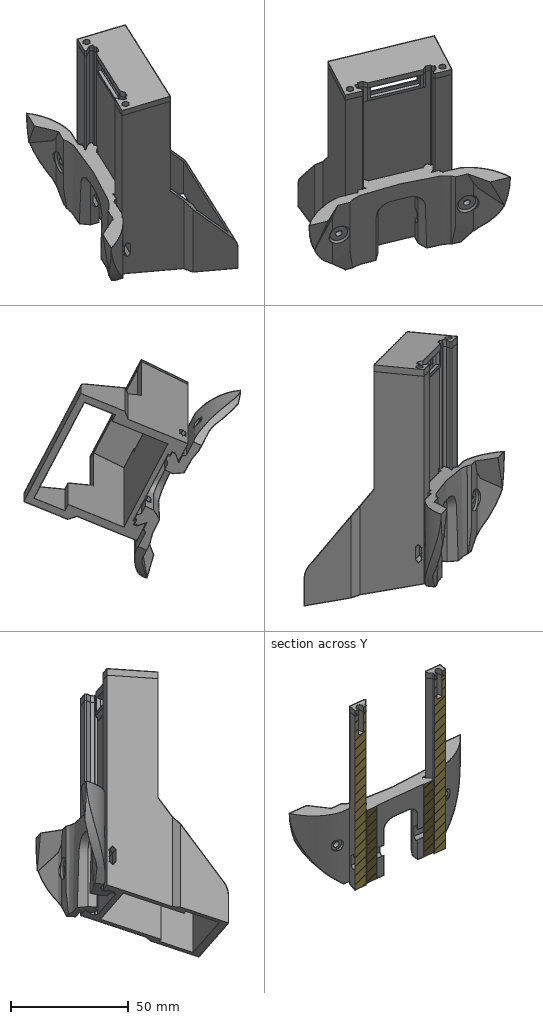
import cadquery as cq
import math


total_height = 109.5
cap_thickness = 3.0
tower_top = total_height - cap_thickness
tower_half_width = 24.0
base_half_width = 26.7
tower_depth = 22.2
flare_start = 28.5
flare_end = 31.4
base_depth = 52.3
base_tilt = 15.0
front_bottom = base_depth * math.tan(math.radians(base_tilt))
slope_top = 54.1
slope_bottom = 15.3
slope_fillet = 9.9

cavity_half_width = 20.6
cavity_front = 7.9
cavity_top = 104.5
wide_cavity_half_width = 23.7
wide_cavity_front = 34.4
cavity_back = 49.1

lip_half_gap = 15.7
lip_chamfer = 0.7
channel_half_width = 18.0
shoulder_depth = 4.6
groove_half_width = 16.4
floor_depth = 5.6
dovetail_offset = lip_half_gap - lip_chamfer

pad_half_width = 14.1
pad_bottom = 97.5
pad_height = 1.6
pad_face = floor_depth - pad_height
window_half_width = 11.2
window_bottom = 100.5
pane_slot_front = floor_depth
pane_slot_width = 1.8
pane_slot_half_width = 12.5
pane_slot_bottom = 98.0

cap_screw_x = 20.8
cap_screw_y = 3.0
cap_hole_diameter = 3.0
tower_hole_diameter = 2.8
tower_hole_depth = 11.0
cross_slot_y = 2.4
cross_slot_bottom = 23.2
cross_slot_top = 31.3
cross_slot_half_width = 1.4

bracket_top = 53.0
bracket_bottom = 13.8
bracket_front = -14.2
wing_tip = 45.28
wing_root = 27.4
wing_back = -1.6
seat_half_width = 18.5
seat_y = -0.2
seat_chamfer = 0.8
tongue_half_width = 17.6
tongue_shoulder = 4.3
tongue_ridge_foot = 15.9
tongue_ridge_half_width = 15.2
tongue_back = 5.3
pad_relief_half_width = 13.8
pad_relief_floor = 3.7

gusset_lean = 0.41
gusset_bottom = 32.9
gusset_inner = 29.2
gusset_outer = 36.5

hollow_shift = -0.3
saddle_y = -6.4
saddle_inner = 23.8
roof_edge = 22.0
roof_crown_top = -2.6
roof_crown_bottom = -4.0
saddle_outer = 31.6
foot_corner = 25.8
foot_relief_y = -5.6
foot_relief_outer_top = 20.8
foot_relief_inner_top = 25.1

slot_half_width = 9.0
slot_top = 42.9
slot_radius = 5.1
slot_mouth_back = -0.2
slot_mouth_front = -6.6
slot_mouth_flare = 0.6

mount_x = 28.8
mount_z = 35.7
mount_hole_diameter = 3.0
back_bore_diameter = 5.6
back_bore_floor = -2.8
recess_diameter = 7.8
recess_rim_diameter = 9.5
recess_floor = -5.5

reach = 219.0
sides = (-1, 1)


def mirrored(half_points):
    """Closed outline from its right half, listed in order with no point on X = 0."""
    return half_points + [(-x, y) for x, y in reversed(half_points)]


def prism_z(points, bottom, top):
    return cq.Workplane("XY").workplane(offset=bottom).polyline(points).close().extrude(top - bottom)


def box(half_width, front, back, bottom, top):
    return cq.Workplane("XY").box(
        2 * half_width, back - front, top - bottom, centered=(True, False, False)
    ).translate((0, front, bottom))


def cylinder_y(diameter, x, z, front, back):
    return cq.Workplane("XZ", origin=(x, front, z)).circle(diameter / 2).extrude(front - back)


def channel():
    """Dovetail channel with a deeper central groove, over the full height."""
    half = [
        (lip_half_gap + lip_chamfer, 0),
        (lip_half_gap, lip_chamfer),
        (channel_half_width, channel_half_width - dovetail_offset),
        (channel_half_width, shoulder_depth),
        (groove_half_width, shoulder_depth),
        (groove_half_width, floor_depth),
    ]
    return prism_z(mirrored(half), 0, total_height)


def window_pad():
    """Bevelled pad standing on the channel floor, up to the top of the cap."""
    pad = box(pad_half_width, pad_face, cavity_front, pad_bottom, total_height + pad_height)
    pad = pad.faces("<Y").chamfer(pad_height)
    return pad.intersect(box(pad_half_width, 0, floor_depth, 0, total_height))


def cross_slot():
    """Six-sided slot through the whole width."""
    peak = cross_slot_half_width
    points = [
        (cross_slot_y, cross_slot_bottom),
        (cross_slot_y + peak, cross_slot_bottom + peak),
        (cross_slot_y + peak, cross_slot_top - peak),
        (cross_slot_y, cross_slot_top),
        (cross_slot_y - peak, cross_slot_top - peak),
        (cross_slot_y - peak, cross_slot_bottom + peak),
    ]
    return cq.Workplane("YZ").polyline(points).close().extrude(reach / 2, both=True)


def cap_screw_holes(diameter, bottom, top):
    centres = [(side * cap_screw_x, cap_screw_y) for side in sides]
    holes = cq.Workplane("XY").workplane(offset=bottom).pushPoints(centres)
    return holes.circle(diameter / 2).extrude(top - bottom)


def tower_blank():
    plan = [
        (tower_half_width, 0),
        (tower_half_width, flare_start),
        (base_half_width, flare_end),
        (base_half_width, base_depth),
    ]
    side_outline = [
        (0, front_bottom),
        (0, tower_top),
        (tower_depth, tower_top),
        (tower_depth, slope_top),
        (base_depth, slope_bottom),
        (base_depth, 0),
    ]
    body = cq.Workplane("YZ").polyline(side_outline).close().extrude(base_half_width, both=True)
    slope_edge = cq.selectors.NearestToPointSelector((0, base_depth, slope_bottom))
    body = body.edges(slope_edge).fillet(slope_fillet)
    return body.intersect(prism_z(mirrored(plan), 0, total_height))


def make_tower():
    cavity = box(cavity_half_width, cavity_front, cavity_back, 0, cavity_top)
    wide_cavity = box(wide_cavity_half_width, wide_cavity_front, cavity_back, 0, cavity_top)
    window = box(window_half_width, 0, cavity_front, window_bottom, tower_top)
    window_back = pane_slot_front + pane_slot_width
    back_window = box(window_half_width, window_back, cavity_front, cavity_top, tower_top)
    pane_slot = box(pane_slot_half_width, pane_slot_front, window_back, pane_slot_bottom, tower_top)
    tower = tower_blank().cut(channel().cut(window_pad()))
    tower = tower.cut(cavity).cut(wide_cavity)
    tower = tower.cut(window.cut(back_window)).cut(pane_slot).cut(cross_slot())
    return tower.cut(cap_screw_holes(tower_hole_diameter, tower_top - tower_hole_depth, tower_top))


def make_cap():
    cap = box(tower_half_width, 0, tower_depth, tower_top, total_height)
    cap = cap.cut(channel().cut(window_pad()))
    return cap.cut(cap_screw_holes(cap_hole_diameter, tower_top, total_height))


def bracket_blank():
    """Wings with an arched back and a dovetail tongue, solid down to the front plane."""
    tongue = [
        (seat_half_width + seat_chamfer, wing_back),
        (seat_half_width, wing_back + seat_chamfer),
        (seat_half_width, seat_y),
        (dovetail_offset + seat_y, seat_y),
        (tongue_half_width, tongue_half_width - dovetail_offset),
        (tongue_half_width, tongue_shoulder),
        (tongue_ridge_foot, tongue_shoulder),
        (tongue_ridge_half_width, tongue_back),
        (pad_relief_half_width, tongue_back),
        (pad_relief_half_width - (tongue_back - pad_relief_floor), pad_relief_floor),
    ]
    wing_middle = (36.4, -5.4)
    outline = cq.Workplane("XY").workplane(offset=bracket_bottom).moveTo(wing_tip, bracket_front)
    outline = outline.threePointArc(wing_middle, (wing_root, wing_back))
    for point in mirrored(tongue) + [(-wing_root, wing_back)]:
        outline = outline.lineTo(*point)
    outline = outline.threePointArc((-wing_middle[0], wing_middle[1]), (-wing_tip, bracket_front))
    return outline.close().extrude(bracket_top - bracket_bottom)


def gusset(side):
    """Leaning block that thickens the top corner of a wing."""
    shift = gusset_lean * (bracket_top - gusset_bottom)

    def section(offset):
        far = wing_tip + shift
        corners = [
            (gusset_inner + offset, saddle_y),
            (gusset_outer + offset, bracket_front),
            (far + offset, bracket_front),
            (far + offset, saddle_y),
        ]
        return [(side * x, y) for x, y in corners]

    block = cq.Workplane("XY").workplane(offset=gusset_bottom).polyline(section(shift)).close()
    block = block.workplane(offset=bracket_top - gusset_bottom).polyline(section(0)).close()
    return block.loft(ruled=True)


def foot_relief(side):
    """Space in front of the tilted plane that thins the lower part of a wing."""
    lower_outer = cq.Vector(side * saddle_outer, saddle_y, foot_relief_outer_top)
    upper_inner = cq.Vector(side * saddle_inner, saddle_y, foot_relief_inner_top)
    foot = cq.Vector(side * foot_corner, foot_relief_y, bracket_bottom)
    normal = (upper_inner - lower_outer).cross(foot - lower_outer) * side
    face = cq.Plane(origin=lower_outer, xDir=upper_inner - lower_outer, normal=normal)
    space = cq.Workplane(face).rect(reach, reach).extrude(reach)
    half_width = (saddle_outer - roof_edge) / 2
    centre = side * (saddle_outer + roof_edge) / 2
    limit = box(half_width, bracket_front, 0, bracket_bottom, foot_relief_inner_top)
    return space.intersect(limit.translate((centre, 0, 0)))


def front_hollow():
    """Space under the bracket; its roof drops slightly towards the bottom."""
    wing = [(saddle_inner, saddle_y), (saddle_outer, saddle_y), (33.7, -7.2), (42.8, bracket_front)]
    top_half = [(18.4, -3.7), (roof_edge, -5.0)] + wing
    bottom_half = [(18.4, -4.5), (roof_edge, -5.3)] + wing

    def outline(crown, half):
        left = [(-x, y) for x, y in reversed(half)]
        return left + [(0, crown)] + half

    bottom = outline(roof_crown_bottom, bottom_half)
    top = outline(roof_crown_top, top_half)
    hollow = cq.Workplane("XY").workplane(offset=bracket_bottom).polyline(bottom).close()
    hollow = hollow.workplane(offset=bracket_top - bracket_bottom).polyline(top).close()
    hollow = hollow.loft(ruled=True)
    for side in sides:
        hollow = hollow.union(foot_relief(side)).cut(gusset(side))
    return hollow.translate((hollow_shift, 0, 0))


def bracket_outline():
    """Rounded face outline, run through the full depth."""
    lower_corner = (31.8, 19.5)
    arc_middle = (41.7, 35.0)
    outline = cq.Workplane("XZ").moveTo(wing_tip, bracket_top)
    outline = outline.threePointArc(arc_middle, lower_corner).lineTo(foot_corner, bracket_bottom)
    outline = outline.lineTo(-foot_corner, bracket_bottom).lineTo(-lower_corner[0], lower_corner[1])
    outline = outline.threePointArc((-arc_middle[0], arc_middle[1]), (-wing_tip, bracket_top))
    return outline.close().extrude(reach / 2, both=True)


def slot_face(y, growth):
    """Outline of the open-bottomed slot, enlarged by growth, on the plane at y."""
    half = slot_half_width + growth
    top = slot_top + growth
    radius = slot_radius + growth
    diagonal = radius * (1 - math.sqrt(0.5))
    face = cq.Workplane("XZ", origin=(0, y, 0)).moveTo(-half, 0).lineTo(-half, top - radius)
    face = face.threePointArc((-half + diagonal, top - diagonal), (-half + radius, top))
    face = face.lineTo(half - radius, top)
    face = face.threePointArc((half - diagonal, top - diagonal), (half, top - radius))
    return face.lineTo(half, 0).close()


def centre_slot():
    """Round-cornered slot with a mouth that opens towards the front."""
    growth = slot_mouth_flare * (slot_mouth_back - slot_mouth_front)
    straight = slot_face(tongue_back, 0).extrude(tongue_back - slot_mouth_front)
    rear_wire = slot_face(slot_mouth_back, 0).val()
    front_wire = slot_face(slot_mouth_front, growth).val()
    mouth = cq.Workplane(cq.Solid.makeLoft([rear_wire, front_wire], True))
    return straight.union(mouth).translate((hollow_shift, 0, 0))


def mount_hole(side):
    """Screw hole with a counterbore behind and a cone-rimmed recess in front."""
    recess_radius = recess_diameter / 2
    rim_radius = recess_rim_diameter / 2
    section = [
        (0, recess_floor),
        (recess_radius, recess_floor),
        (rim_radius, saddle_y),
        (rim_radius, bracket_front),
        (0, bracket_front),
    ]
    recess = cq.Workplane("XY").polyline(section).close().revolve(360, (0, 0, 0), (0, 1, 0))
    recess = recess.translate((side * mount_x, 0, mount_z))
    hole = cylinder_y(mount_hole_diameter, side * mount_x, mount_z, bracket_front, 0)
    bore = cylinder_y(back_bore_diameter, side * mount_x, mount_z, back_bore_floor, 0)
    return recess.union(hole).union(bore)


def make_bracket():
    bracket = bracket_blank().cut(front_hollow()).intersect(bracket_outline())
    bracket = bracket.cut(centre_slot()).cut(cross_slot())
    for side in sides:
        bracket = bracket.cut(mount_hole(side))
    return bracket


tower = make_tower()
cap = make_cap()
bracket = make_bracket()

result = cq.Compound.makeCompound([tower.val(), cap.val(), bracket.val()])